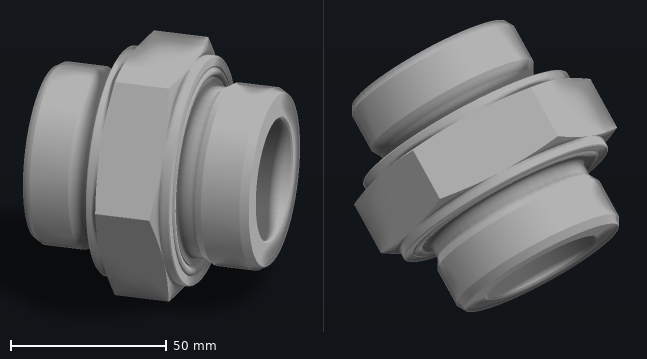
import cadquery as cq
import math


HALF_LENGTH = 76.0 / 2
BORE_RADIUS = 20.0
BORE_CHAMFER = 0.5

FLANGE_RADIUS = 75.0 / 2
FLANGE_FACE = 14.1
FLANGE_CHAMFER = 0.35
HEX_CORNER_RADIUS = 43.25
HEX_FLAT_HALF_WIDTH = 9.1
HEX_BEVEL_END = 10.6

THREAD_RADIUS = 59.6 / 2
END_CHAMFER_LENGTH = 2.7
THREAD_BACK = 22.4
TAPER_ANGLE = math.radians(30)

UNDERCUT_RADIUS = 27.9
BLEND_RADIUS = 1.6
ROOT_FILLET = 0.8

RING_OUTER_RADIUS = 68.2 / 2
RING_INNER_RADIUS = 30.6
RING_PROTRUSION = 0.5
RING_SECTION_RADIUS = (RING_OUTER_RADIUS - RING_INNER_RADIUS) / 2
RING_MEAN_RADIUS = (RING_OUTER_RADIUS + RING_INNER_RADIUS) / 2
RING_CENTRE = FLANGE_FACE + RING_PROTRUSION - RING_SECTION_RADIUS
GROOVE_DEPTH = 2 * RING_SECTION_RADIUS - RING_PROTRUSION


def revolve_about_x(profile):
    return profile.revolve(360, (0, 0, 0), (1, 0, 0))


def make_hexagon():
    """Hexagon with corners on Y, turned to a bevelled disc so that its corners are cut back."""
    corner_diameter = 2 * FLANGE_RADIUS / math.cos(math.pi / 6)
    prism = (
        cq.Workplane("YZ")
        .polygon(6, corner_diameter)
        .extrude(HEX_BEVEL_END, both=True)
    )
    bevelled_disc = revolve_about_x(
        cq.Workplane("XY")
        .moveTo(-HEX_BEVEL_END, 0)
        .lineTo(-HEX_BEVEL_END, FLANGE_RADIUS)
        .lineTo(-HEX_FLAT_HALF_WIDTH, HEX_CORNER_RADIUS)
        .lineTo(HEX_FLAT_HALF_WIDTH, HEX_CORNER_RADIUS)
        .lineTo(HEX_BEVEL_END, FLANGE_RADIUS)
        .lineTo(HEX_BEVEL_END, 0)
        .close()
    )
    return prism.intersect(bevelled_disc)


def make_turned_half():
    """Flange, undercut and threaded end on the +X side."""
    end_radius = THREAD_RADIUS - END_CHAMFER_LENGTH * math.tan(TAPER_ANGLE)

    blend_top = UNDERCUT_RADIUS + BLEND_RADIUS * (1 - math.cos(TAPER_ANGLE))
    taper_end = THREAD_BACK - (THREAD_RADIUS - blend_top) / math.tan(TAPER_ANGLE)
    blend_end = taper_end - BLEND_RADIUS * math.sin(TAPER_ANGLE)
    blend_middle = (
        blend_end + BLEND_RADIUS * math.sin(TAPER_ANGLE / 2),
        UNDERCUT_RADIUS + BLEND_RADIUS * (1 - math.cos(TAPER_ANGLE / 2)),
    )

    fillet_end = FLANGE_FACE + ROOT_FILLET
    fillet_offset = ROOT_FILLET * (1 - math.sqrt(0.5))
    fillet_middle = (FLANGE_FACE + fillet_offset, UNDERCUT_RADIUS + fillet_offset)

    return revolve_about_x(
        cq.Workplane("XY")
        .moveTo(0, 0)
        .lineTo(0, FLANGE_RADIUS)
        .lineTo(FLANGE_FACE - FLANGE_CHAMFER, FLANGE_RADIUS)
        .lineTo(FLANGE_FACE, FLANGE_RADIUS - FLANGE_CHAMFER)
        .lineTo(FLANGE_FACE, UNDERCUT_RADIUS + ROOT_FILLET)
        .threePointArc(fillet_middle, (fillet_end, UNDERCUT_RADIUS))
        .lineTo(blend_end, UNDERCUT_RADIUS)
        .threePointArc(blend_middle, (taper_end, blend_top))
        .lineTo(THREAD_BACK, THREAD_RADIUS)
        .lineTo(HALF_LENGTH - END_CHAMFER_LENGTH, THREAD_RADIUS)
        .lineTo(HALF_LENGTH, end_radius)
        .lineTo(HALF_LENGTH, 0)
        .close()
    )


def make_ring_groove():
    """Annular cutter for the seal groove in the +X flange face."""
    return (
        cq.Workplane("YZ", origin=(FLANGE_FACE - GROOVE_DEPTH, 0, 0))
        .circle(RING_OUTER_RADIUS)
        .circle(RING_INNER_RADIUS)
        .extrude(GROOVE_DEPTH)
    )


def make_bore():
    """Through-bore cutter, widened by a chamfer at both mouths."""
    chamfer_start = HALF_LENGTH - BORE_CHAMFER
    mouth_radius = BORE_RADIUS + BORE_CHAMFER
    return revolve_about_x(
        cq.Workplane("XY")
        .moveTo(-HALF_LENGTH, 0)
        .lineTo(-HALF_LENGTH, mouth_radius)
        .lineTo(-chamfer_start, BORE_RADIUS)
        .lineTo(chamfer_start, BORE_RADIUS)
        .lineTo(HALF_LENGTH, mouth_radius)
        .lineTo(HALF_LENGTH, 0)
        .close()
    )


def make_fitting_body():
    turned_half = make_turned_half().cut(make_ring_groove())
    return (
        make_hexagon()
        .union(turned_half)
        .union(turned_half.mirror("YZ"))
        .cut(make_bore())
    )


def make_sealing_ring(side):
    """O-ring seated in the flange groove on the given side (+1 or -1 along X)."""
    return cq.Solid.makeTorus(
        RING_MEAN_RADIUS,
        RING_SECTION_RADIUS,
        cq.Vector(side * RING_CENTRE, 0, 0),
        cq.Vector(1, 0, 0),
    )


fitting_body = make_fitting_body()
sealing_rings = [make_sealing_ring(side) for side in (-1, 1)]

result = cq.Compound.makeCompound([fitting_body.solids().val(), *sealing_rings])